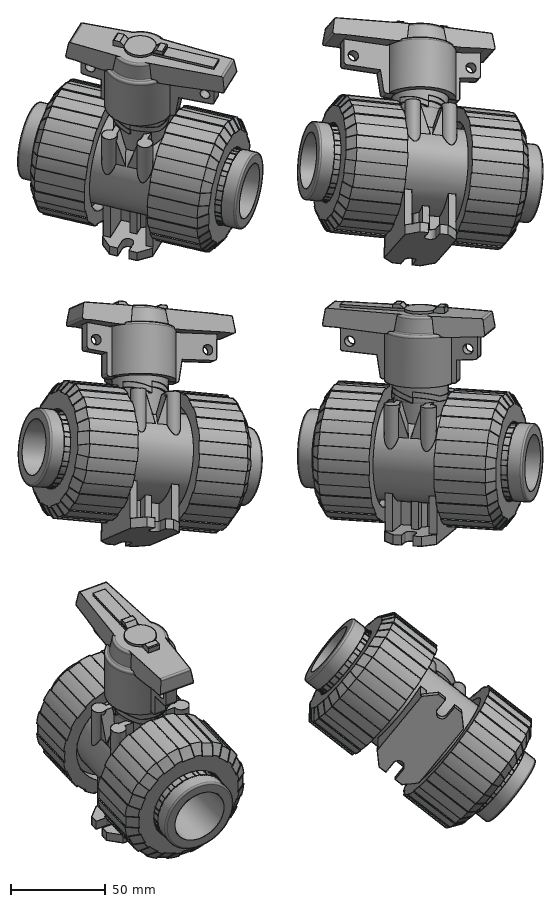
import cadquery as cq
import math


total_length = 124.0
top_level = 82.6
bottom_level = top_level - 125.9

nut_radius = 36.8
nut_inner_x = 17.9
nut_outer_x = 50.5
nut_bevel_length = 4.3
nut_bevel_depth = 5.5
nut_flange_x = 41.5
nut_mouth_radius = 21.4
nut_groove_count = 16
nut_groove_depth = 0.8
nut_groove_width = 7.2

barrel_radius = 24.9
thread_radius = 28.7
thread_x = 23.9
body_end_x = 34.0
body_bore_radius = 12.2
root_level = 12.6
neck_radius = 14.2
neck_top = 32.0

connector_bore_radius = 15.1
rim_radius = 20.9
rim_length = 8.2
rim_fillet = 1.0
spline_radius = 20.8
spline_depth = 0.5
spline_groove_width = 5.2
spline_groove_count = 16

post_radius = 4.2
post_x = 10.1
post_y = 19.4
block_half_x = 10.1
block_half_y = 20.5
notch_bottom = 14.1
notch_bottom_half = 0.5
notch_top_half = 6.7

foot_half_x = 14.2
foot_half_y = 25.3
foot_thickness = 5.4
foot_chamfer = 6.4
foot_slot_radius = 3.1
foot_slot_y = 18.6
web_thickness = 4.2
web_half_y = 18.0
pillar_radius = 4.9
rib_thickness = 3.9
rib_half_y = 10.3

stem_radius = 15.0
stem_top = 54.8
cam_band_radius = 15.2
cam_band_height = 3.0
cam_height = 3.1
cam_angle = 60.0
cam_pitch = 62.0
recess_radius = 13.2
recess_height = 2.6
recess_angle = 28.0

skirt_radius = 19.0
skirt_bottom = 41.3
skirt_top = 69.8
skirt_fillet = 1.5
cavity_radius = 15.2
hub_bottom_radius = 16.5
hub_top_radius = 14.6
hub_fillet = 1.5
hub_root_fillet = 0.8
lever_top = 79.1
lever_end_bottom = 69.4
lever_middle_bottom = 68.3
lever_left = -38.8
lever_right = 51.6
lever_left_half = 10.6
lever_right_half = 9.7
lever_middle_half = 13.3
lever_draft = 8.5
lever_fillet = 1.1
slot_half_width = 4.4
disc_radius = 8.6
disc_height = 1.4
strip_half_width = 3.8
strip_end = 43.2
prong_outer_x = 14.2
prong_top_inner_x = 10.3
prong_inner_x = 8.0
prong_half_width = 3.4
prong_chamfer = 0.5

plate_half_width = 3.3
plate_left = -32.5
plate_right = 43.2
plate_arm_bottom = 55.2
plate_arm_root = 54.1
leg_left = -21.0
leg_right_top = 23.0
leg_right_bottom = 21.0
plate_fillet = 1.5
plate_hole_radius = 2.8
plate_hole_left = -27.2
plate_hole_right = 38.0
plate_hole_z = 60.6


def x_cylinder(radius, x_start, x_end):
    return cq.Workplane("YZ").workplane(offset=x_start).circle(radius).extrude(x_end - x_start)


def z_cylinder(radius, z_start, z_end):
    return cq.Workplane("XY").workplane(offset=z_start).circle(radius).extrude(z_end - z_start)


def block(x_min, x_max, half_y, z_min, z_max):
    return cq.Workplane("XY").box(x_max - x_min, 2 * half_y, z_max - z_min).translate(
        ((x_min + x_max) / 2, 0, (z_min + z_max) / 2)
    )


def revolve_about_x(points):
    return cq.Workplane("XY").polyline(points).close().revolve(360, (0, 0, 0), (1, 0, 0))


def long_groove_set(count, width, x_start, x_end, reach):
    """Bars along X, evenly spread around the pipe axis."""
    bar = block(x_start, x_end, width / 2, 0, reach)
    grooves = cq.Workplane("XY")
    for index in range(count):
        grooves = grooves.add(bar.rotate((0, 0, 0), (1, 0, 0), index * 360 / count))
    return grooves.combine()


def nut_blank(radius):
    bevel_x = nut_outer_x - nut_bevel_length
    return revolve_about_x([
        (nut_inner_x, 0),
        (nut_inner_x, radius),
        (bevel_x, radius),
        (nut_outer_x, radius - nut_bevel_depth),
        (nut_outer_x, 0),
    ])


def make_nut():
    groove_layer = nut_blank(nut_radius).cut(nut_blank(nut_radius - nut_groove_depth))
    grooves = groove_layer.intersect(
        long_groove_set(nut_groove_count, nut_groove_width, nut_inner_x, nut_outer_x, nut_radius)
    )
    nut = nut_blank(nut_radius).cut(grooves)
    nut = nut.cut(x_cylinder(thread_radius, nut_inner_x, nut_flange_x))
    return nut.cut(x_cylinder(nut_mouth_radius, nut_flange_x, nut_outer_x))


def make_connector():
    end_x = total_length / 2
    rim_x = end_x - rim_length
    flange = x_cylinder(thread_radius, body_end_x, nut_flange_x)
    groove_layer = x_cylinder(spline_radius, nut_flange_x, rim_x).cut(
        x_cylinder(spline_radius - spline_depth, nut_flange_x, rim_x)
    )
    grooves = groove_layer.intersect(
        long_groove_set(spline_groove_count, spline_groove_width, nut_flange_x, rim_x, spline_radius)
    )
    spline = x_cylinder(spline_radius, nut_flange_x, rim_x).cut(grooves)
    rim = x_cylinder(rim_radius, rim_x, end_x).faces(">X").edges().fillet(rim_fillet)
    connector = flange.union(spline).union(rim)
    return connector.cut(x_cylinder(connector_bore_radius, body_end_x, end_x))


def make_cam(radius, base):
    """Wedge of a disc, full height at -Y, whose sloping top dies out at the cam angle towards +X."""
    quarter = cq.Workplane("XY").workplane(offset=base).rect(radius, -radius, centered=False).extrude(cam_height)
    fall_y = -radius * math.cos(math.radians(cam_angle))
    slope = (
        cq.Workplane("YZ")
        .polyline([(-radius, base), (-radius, base + cam_height), (fall_y, base)])
        .close()
        .extrude(radius)
    )
    return z_cylinder(radius, base, base + cam_height).intersect(quarter).intersect(slope)


def make_cams(radius, base):
    """Two pairs of cams, half a turn apart."""
    cam = make_cam(radius, base)
    cams = cam
    for turn in (-cam_pitch, 180 - cam_pitch, 180):
        cams = cams.union(cam.rotate((0, 0, 0), (0, 0, 1), turn))
    return cams


def make_notched_block():
    solid = block(-block_half_x, block_half_x, block_half_y, root_level, neck_top)
    notch = (
        cq.Workplane("XZ")
        .polyline([
            (-notch_bottom_half, notch_bottom),
            (notch_bottom_half, notch_bottom),
            (notch_top_half, neck_top),
            (-notch_top_half, neck_top),
        ])
        .close()
        .extrude(block_half_y, both=True)
    )
    return solid.cut(notch)


def make_foot():
    base_top = bottom_level + foot_thickness
    base = block(-foot_half_x, foot_half_x, foot_half_y, bottom_level, base_top)
    base = base.edges("|Z").chamfer(foot_chamfer)
    slot_length = 2 * (foot_half_y - foot_slot_y)
    for side in (-1, 1):
        round_end = z_cylinder(foot_slot_radius, bottom_level, base_top).translate((0, side * foot_slot_y, 0))
        mouth = block(-foot_slot_radius, foot_slot_radius, slot_length / 2, bottom_level, base_top)
        base = base.cut(round_end).cut(mouth.translate((0, side * foot_half_y, 0)))
    outer_web = block(foot_half_x - web_thickness, foot_half_x, web_half_y, base_top, -root_level)
    foot = base.union(outer_web).union(outer_web.mirror("YZ"))
    foot = foot.union(z_cylinder(pillar_radius, base_top, -root_level))
    foot = foot.union(block(-rib_thickness / 2, rib_thickness / 2, rib_half_y, base_top, -root_level))
    return foot.union(block(-foot_half_x, foot_half_x, rib_thickness / 2, base_top, -root_level))


def make_body():
    body = x_cylinder(barrel_radius, -body_end_x, body_end_x)
    thread = x_cylinder(thread_radius, thread_x, body_end_x)
    body = body.union(thread).union(thread.mirror("YZ"))
    neck = z_cylinder(neck_radius, root_level, neck_top).union(make_cams(neck_radius, neck_top))
    body = body.union(neck).union(make_notched_block())
    for x in (-post_x, post_x):
        for y in (-post_y, post_y):
            body = body.union(z_cylinder(post_radius, 0, neck_top).translate((x, y, 0)))
    body = body.union(make_foot())
    return body.cut(x_cylinder(body_bore_radius, -body_end_x, body_end_x))


def make_stem():
    band_top = neck_top + cam_band_height
    stem = z_cylinder(stem_radius, neck_top, stem_top)
    stem = stem.union(z_cylinder(cam_band_radius, neck_top, band_top))
    stem = stem.union(make_cams(cam_band_radius, band_top))
    reach = 2 * stem_radius
    angle = math.radians(recess_angle)
    sector = (
        cq.Workplane("XY")
        .workplane(offset=neck_top)
        .polyline([(0, 0), (-reach, 0), (-reach, -reach * math.tan(angle))])
        .close()
        .extrude(recess_height)
    )
    recess = sector.cut(z_cylinder(recess_radius, neck_top, stem_top))
    return stem.cut(make_cams(cam_band_radius, neck_top)).cut(recess)


def make_lever():
    plan = (
        cq.Workplane("XY")
        .workplane(offset=lever_middle_bottom)
        .polyline([
            (lever_left, -lever_left_half),
            (0, -lever_middle_half),
            (lever_right, -lever_right_half),
            (lever_right, lever_right_half),
            (0, lever_middle_half),
            (lever_left, lever_left_half),
        ])
        .close()
        .extrude(lever_top - lever_middle_bottom, taper=lever_draft)
    )
    plan = plan.faces(">Z").edges("|Y").fillet(lever_fillet)
    underside = (
        cq.Workplane("XZ")
        .polyline([
            (lever_left, lever_end_bottom),
            (plate_left, lever_end_bottom),
            (-skirt_radius, lever_middle_bottom),
            (skirt_radius, lever_middle_bottom),
            (plate_right, lever_end_bottom),
            (lever_right, lever_end_bottom),
            (lever_right, lever_top),
            (lever_left, lever_top),
        ])
        .close()
        .extrude(lever_middle_half, both=True)
    )
    lever = plan.intersect(underside)
    for end in ("<X", ">X"):
        lever = lever.edges("|Y").edges(end).fillet(lever_fillet)
    return lever


def make_prong():
    prong = (
        cq.Workplane("XZ")
        .polyline([
            (prong_inner_x, lever_top),
            (prong_outer_x, lever_top),
            (prong_outer_x, top_level),
            (prong_top_inner_x, top_level),
            (prong_inner_x, lever_top + disc_height),
        ])
        .close()
        .extrude(prong_half_width, both=True)
    )
    return prong.faces(">X").edges(">Z").chamfer(prong_chamfer)


def make_cap():
    """Skirt and conical hub, still without the cavity."""
    cap = (
        cq.Workplane("XZ")
        .polyline([
            (0, skirt_bottom),
            (skirt_radius, skirt_bottom),
            (skirt_radius, skirt_top),
            (hub_bottom_radius, skirt_top),
            (hub_top_radius, lever_top),
            (0, lever_top),
        ])
        .close()
        .revolve(360, (0, 0, 0), (0, 1, 0))
    )
    second_smallest = cq.selectors.RadiusNthSelector(1)
    largest = cq.selectors.RadiusNthSelector(-1)
    cap = cap.edges("%CIRCLE").edges(second_smallest).fillet(hub_root_fillet)
    cap = cap.faces(">Z").edges().fillet(hub_fillet)
    return cap.edges("%CIRCLE").edges(largest).edges(">Z").fillet(skirt_fillet)


def make_handle():
    cap = make_cap()
    handle = cap.union(make_lever())
    handle = handle.cut(z_cylinder(cavity_radius, skirt_bottom, stem_top))
    handle = handle.cut(block(-skirt_radius, skirt_radius, slot_half_width, skirt_bottom, lever_end_bottom))
    handle = handle.union(z_cylinder(disc_radius, lever_top, lever_top + disc_height))
    handle = handle.union(block(0, strip_end, strip_half_width, lever_top, lever_top + disc_height))
    prong = make_prong()
    return handle.union(prong).union(prong.mirror("YZ"))


def make_key_plate(handle):
    plate = (
        cq.Workplane("XZ")
        .polyline([
            (plate_left, lever_end_bottom),
            (plate_left, plate_arm_bottom),
            (leg_left, plate_arm_root),
            (leg_left, skirt_bottom),
            (leg_right_bottom, skirt_bottom),
            (leg_right_top, plate_arm_root),
            (plate_right, plate_arm_bottom),
            (plate_right, lever_end_bottom),
        ])
        .close()
        .extrude(plate_half_width, both=True)
    )
    plate = plate.edges("|Y").edges("<Z or <X or >X").edges("<Z or (not >Z)").fillet(plate_fillet)
    holes = (
        cq.Workplane("XZ")
        .pushPoints([(plate_hole_left, plate_hole_z), (plate_hole_right, plate_hole_z)])
        .circle(plate_hole_radius)
        .extrude(plate_half_width, both=True)
    )
    plate = plate.cut(holes).cut(z_cylinder(cavity_radius, skirt_bottom, stem_top))
    return plate.cut(handle)


body = make_body()
stem = make_stem()
handle = make_handle()
key_plate = make_key_plate(handle)
bodies = [body.val(), stem.val(), handle.val(), key_plate.val()]
for turn in (0, 180):
    for part in (make_nut(), make_connector()):
        bodies.append(part.rotate((0, 0, 0), (0, 0, 1), turn).val())

result = cq.Compound.makeCompound(bodies)